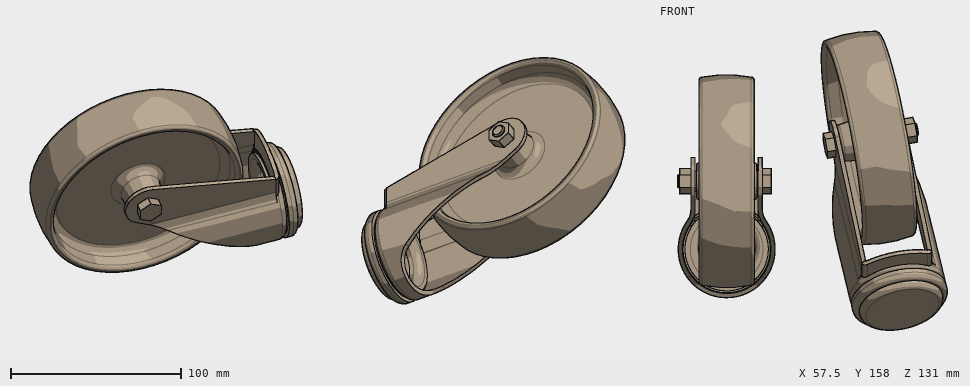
import cadquery as cq
import math


QUARTER_BEND = 1 - math.sqrt(0.5)

WHEEL_RADIUS = 62.49
TREAD_EDGE_RADIUS = 61.1
TREAD_HALF_WIDTH = 14.4
RIM_HALF_WIDTH = 16.3
RIM_ROUND = RIM_HALF_WIDTH - TREAD_HALF_WIDTH
RIM_LIP_RADIUS = 56.4
RIM_LIP_ROUND = 2.4
RIM_BASE_RADIUS = 55.6
WEB_HALF_WIDTH = 2.7
WEB_ROUND = 4.7
HUB_BASE_RADIUS = 12.2
HUB_RADIUS = 10.7
HUB_HALF_WIDTH = 17.7
HUB_END_ROUND = 1.3
WHEEL_BORE = 12.2

SHEET = 2.5
FORK_GAP = 37.0
EAR_INNER = FORK_GAP / 2
EAR_OUTER = EAR_INNER + SHEET
EAR_TIP_RADIUS = 13.9
EAR_TOP_CORNER_Z = -5.2
LOWER_EDGE_ANGLE = 31.5
LOWER_EDGE_END_Y = 65.1
SHELL_FRONT_Y = 74.3
SWIVEL_Z = -40.0
SHELL_RADIUS = 28.52
NECK_BEND_RADIUS = 11.7
PLATE_INNER_Y = 79.5
PLATE_OUTER_Y = PLATE_INNER_Y + SHEET
PLATE_RADIUS = -SWIVEL_Z
PLATE_BEND = 3.0
CUP_END_Y = 84.5
CUP_ROUND = 3.6

RACE_DIAMETER = 49.0
RACE_FACE_Y = 77.7
GROOVE_INNER_RADIUS = 25.6
GROOVE_OUTER_RADIUS = 26.9
GROOVE_DEPTH = 1.5
RECESS_RADIUS = 16.6
RECESS_LIP = 4.7
HEAD_NECK_RADIUS = 25.9
HEAD_RIM_START_Y = 85.2
HEAD_RIM_END_Y = 87.8
HEAD_STEP_Y = 91.5
HEAD_STEP_RADIUS = 25.5
HEAD_STEP_INSET = 0.5
HEAD_TOP_Y = 95.51
HEAD_TOP_RADIUS = 22.0

BOLT_DIAMETER = 8.0
BOLT_END_X = -29.0
BOLT_CHAMFER = 0.8
SPACER_DIAMETER = 12.0
HEX_FLATS = 13.0
NUT_HEIGHT = 6.6
BOLT_HEAD_HEIGHT = 5.2


def x_cylinder(radius, start, end):
    """Cylinder on the axle."""
    return cq.Workplane("YZ").workplane(offset=start).circle(radius).extrude(end - start)


def y_cylinder(radius, start, end):
    """Cylinder on the swivel axis."""
    base = cq.Workplane("XZ", origin=(0, start, SWIVEL_Z))
    return base.circle(radius).extrude(start - end)


def x_hexagon(start, height):
    """Hexagonal prism on the axle with two corners pointing along Z."""
    corner_radius = HEX_FLATS / math.sqrt(3)
    angles = [math.radians(30 + 60 * i) for i in range(6)]
    corners = [(corner_radius * math.cos(a), corner_radius * math.sin(a)) for a in angles]
    return cq.Workplane("YZ").workplane(offset=start).polyline(corners).close().extrude(height)


def make_wheel():
    rim_bend = RIM_ROUND * QUARTER_BEND
    lip_bend = RIM_LIP_ROUND * QUARTER_BEND
    root_bend = WEB_ROUND * QUARTER_BEND
    hub_bend = HUB_END_ROUND * QUARTER_BEND
    web_round_x = WEB_HALF_WIDTH + WEB_ROUND
    body = (
        cq.Workplane("XY")
        .moveTo(0, WHEEL_BORE / 2)
        .lineTo(HUB_HALF_WIDTH, WHEEL_BORE / 2)
        .lineTo(HUB_HALF_WIDTH, HUB_RADIUS - HUB_END_ROUND)
        .threePointArc(
            (HUB_HALF_WIDTH - hub_bend, HUB_RADIUS - hub_bend),
            (HUB_HALF_WIDTH - HUB_END_ROUND, HUB_RADIUS),
        )
        .lineTo(web_round_x, HUB_BASE_RADIUS)
        .threePointArc(
            (WEB_HALF_WIDTH + root_bend, HUB_BASE_RADIUS + root_bend),
            (WEB_HALF_WIDTH, HUB_BASE_RADIUS + WEB_ROUND),
        )
        .lineTo(WEB_HALF_WIDTH, RIM_BASE_RADIUS - WEB_ROUND)
        .threePointArc(
            (WEB_HALF_WIDTH + root_bend, RIM_BASE_RADIUS - root_bend),
            (web_round_x, RIM_BASE_RADIUS),
        )
        .lineTo(RIM_HALF_WIDTH - RIM_LIP_ROUND, RIM_LIP_RADIUS)
        .threePointArc(
            (RIM_HALF_WIDTH - lip_bend, RIM_LIP_RADIUS + lip_bend),
            (RIM_HALF_WIDTH, RIM_LIP_RADIUS + RIM_LIP_ROUND),
        )
        .lineTo(RIM_HALF_WIDTH, TREAD_EDGE_RADIUS - RIM_ROUND)
        .threePointArc(
            (RIM_HALF_WIDTH - rim_bend, TREAD_EDGE_RADIUS - rim_bend),
            (TREAD_HALF_WIDTH, TREAD_EDGE_RADIUS),
        )
        .lineTo(0, TREAD_EDGE_RADIUS)
        .close()
        .revolve(360, (0, 0, 0), (1, 0, 0))
    )
    crown = (
        cq.Workplane("XY")
        .moveTo(-TREAD_HALF_WIDTH, TREAD_EDGE_RADIUS)
        .threePointArc((0, WHEEL_RADIUS), (TREAD_HALF_WIDTH, TREAD_EDGE_RADIUS))
        .lineTo(TREAD_HALF_WIDTH, RIM_LIP_RADIUS + RIM_LIP_ROUND)
        .lineTo(-TREAD_HALF_WIDTH, RIM_LIP_RADIUS + RIM_LIP_ROUND)
        .close()
        .revolve(360, (0, 0, 0), (1, 0, 0))
    )
    return body.union(body.mirror("YZ")).union(crown)


def omega(ear_x, shell_radius, bend_radius, end_y):
    """Prism of the fork section: two straight ears that bend out into a round shell."""
    rise = math.sqrt((shell_radius + bend_radius) ** 2 - (ear_x + bend_radius) ** 2)
    bend_z = SWIVEL_Z + rise
    ratio = shell_radius / (shell_radius + bend_radius)
    touch_x = ratio * (ear_x + bend_radius)
    touch_z = SWIVEL_Z + ratio * rise
    mid_angle = math.atan2(rise, ear_x + bend_radius) / 2
    mid_x = ear_x + bend_radius - bend_radius * math.cos(mid_angle)
    mid_z = bend_z - bend_radius * math.sin(mid_angle)
    start_y = -EAR_TIP_RADIUS
    return (
        cq.Workplane("XZ", origin=(0, start_y, 0))
        .moveTo(-ear_x, EAR_TIP_RADIUS)
        .lineTo(-ear_x, bend_z)
        .threePointArc((-mid_x, mid_z), (-touch_x, touch_z))
        .threePointArc((0, SWIVEL_Z - shell_radius), (touch_x, touch_z))
        .threePointArc((mid_x, mid_z), (ear_x, bend_z))
        .lineTo(ear_x, EAR_TIP_RADIUS)
        .close()
        .extrude(start_y - end_y)
    )


def side_outline():
    """Prism of the fork seen along X: round ear tips, sloping edges and a curved shell front."""
    slope = math.radians(LOWER_EDGE_ANGLE)
    lower_touch = (-EAR_TIP_RADIUS * math.sin(slope), -EAR_TIP_RADIUS * math.cos(slope))
    lower_end_z = -EAR_TIP_RADIUS / math.cos(slope) - LOWER_EDGE_END_Y * math.tan(slope)
    corner_distance = math.hypot(PLATE_INNER_Y, EAR_TOP_CORNER_Z)
    upper_angle = math.atan2(EAR_TOP_CORNER_Z, PLATE_INNER_Y) + math.acos(EAR_TIP_RADIUS / corner_distance)
    upper_touch = (EAR_TIP_RADIUS * math.cos(upper_angle), EAR_TIP_RADIUS * math.sin(upper_angle))
    shell_bottom = SWIVEL_Z - SHELL_RADIUS
    return (
        cq.Workplane("YZ")
        .moveTo(PLATE_INNER_Y, EAR_TOP_CORNER_Z)
        .lineTo(*upper_touch)
        .threePointArc((-EAR_TIP_RADIUS, 0), lower_touch)
        .lineTo(LOWER_EDGE_END_Y, lower_end_z)
        .tangentArcPoint((SHELL_FRONT_Y, shell_bottom), relative=False)
        .lineTo(PLATE_INNER_Y, shell_bottom)
        .close()
        .extrude(SHELL_RADIUS, both=True)
    )


def make_base_plate():
    """Round-topped plate across the ear ends, with rounded outside bends."""
    bend_start_y = PLATE_OUTER_Y - PLATE_BEND
    block = (
        cq.Workplane("XY")
        .box(2 * EAR_OUTER, PLATE_BEND, PLATE_RADIUS, centered=(True, False, False))
        .edges("|Z and >Y")
        .fillet(PLATE_BEND - 0.02)
        .translate((0, bend_start_y, SWIVEL_Z))
    )
    inside = cq.Workplane("XY").box(2 * EAR_INNER, PLATE_BEND - SHEET, PLATE_RADIUS, centered=(True, False, False))
    inside = inside.translate((0, bend_start_y, SWIVEL_Z))
    return block.cut(inside).intersect(y_cylinder(PLATE_RADIUS, bend_start_y, PLATE_OUTER_Y))


def make_swivel_head():
    rim_height = HEAD_STEP_Y - HEAD_RIM_END_Y
    diagonal = math.sqrt(0.5)
    rim_depth = SHELL_RADIUS - HEAD_STEP_RADIUS
    top_radius = HEAD_STEP_RADIUS - HEAD_STEP_INSET
    crown_depth = top_radius - HEAD_TOP_RADIUS
    crown_height = HEAD_TOP_Y - HEAD_STEP_Y
    outline = (
        cq.Workplane("XY", origin=(0, 0, SWIVEL_Z))
        .moveTo(0, PLATE_INNER_Y)
        .lineTo(HEAD_NECK_RADIUS, PLATE_INNER_Y)
        .lineTo(HEAD_NECK_RADIUS, HEAD_RIM_START_Y)
        .lineTo(SHELL_RADIUS, HEAD_RIM_START_Y)
        .lineTo(SHELL_RADIUS, HEAD_RIM_END_Y)
        .threePointArc(
            (HEAD_STEP_RADIUS + rim_depth * diagonal, HEAD_RIM_END_Y + rim_height * diagonal),
            (HEAD_STEP_RADIUS, HEAD_STEP_Y),
        )
        .lineTo(top_radius, HEAD_STEP_Y)
        .threePointArc(
            (HEAD_TOP_RADIUS + crown_depth * diagonal, HEAD_STEP_Y + crown_height * diagonal),
            (HEAD_TOP_RADIUS, HEAD_TOP_Y),
        )
        .lineTo(0, HEAD_TOP_Y)
        .close()
    )
    return outline.revolve(360, (0, 0, 0), (0, 1, 0))


def make_fork():
    walls = omega(EAR_OUTER, SHELL_RADIUS, NECK_BEND_RADIUS, PLATE_INNER_Y).cut(
        omega(EAR_INNER, SHELL_RADIUS - SHEET, NECK_BEND_RADIUS + SHEET, PLATE_INNER_Y)
    )
    walls = walls.intersect(side_outline())
    cup = y_cylinder(SHELL_RADIUS, PLATE_INNER_Y, CUP_END_Y).edges(">Y").fillet(CUP_ROUND)
    race = y_cylinder(RACE_DIAMETER / 2, RACE_FACE_Y, PLATE_INNER_Y)
    recess = y_cylinder(RECESS_RADIUS, RACE_FACE_Y, HEAD_RIM_START_Y)
    groove_end_y = PLATE_INNER_Y + GROOVE_DEPTH
    groove = y_cylinder(GROOVE_OUTER_RADIUS, PLATE_INNER_Y, groove_end_y).cut(
        y_cylinder(GROOVE_INNER_RADIUS, PLATE_INNER_Y, groove_end_y)
    )
    base = make_base_plate().union(cup).union(make_swivel_head()).cut(groove)
    fork = walls.union(base).union(race).cut(recess)
    lip = cq.selectors.BoxSelector(
        (-RECESS_RADIUS - 1.6, RACE_FACE_Y - 0.2, SWIVEL_Z - RECESS_RADIUS - 1.6),
        (RECESS_RADIUS + 1.6, RACE_FACE_Y + 0.2, SWIVEL_Z + RECESS_RADIUS + 1.6),
        boundingbox=True,
    )
    fork = fork.edges(lip).fillet(RECESS_LIP)
    return fork.cut(x_cylinder(BOLT_DIAMETER / 2, -EAR_OUTER, EAR_OUTER))


def make_axle():
    shank = x_cylinder(BOLT_DIAMETER / 2, BOLT_END_X, EAR_OUTER).faces("<X").chamfer(BOLT_CHAMFER)
    spacer = x_cylinder(SPACER_DIAMETER / 2, -EAR_INNER, EAR_INNER)
    bolt_head = x_hexagon(EAR_OUTER, BOLT_HEAD_HEIGHT)
    nut = x_hexagon(-EAR_OUTER - NUT_HEIGHT, NUT_HEIGHT)
    return shank.union(spacer).union(bolt_head).union(nut)


fork = make_fork()
wheel = make_wheel()
axle = make_axle()

result = cq.Compound.makeCompound([fork.val(), wheel.val(), axle.val()])